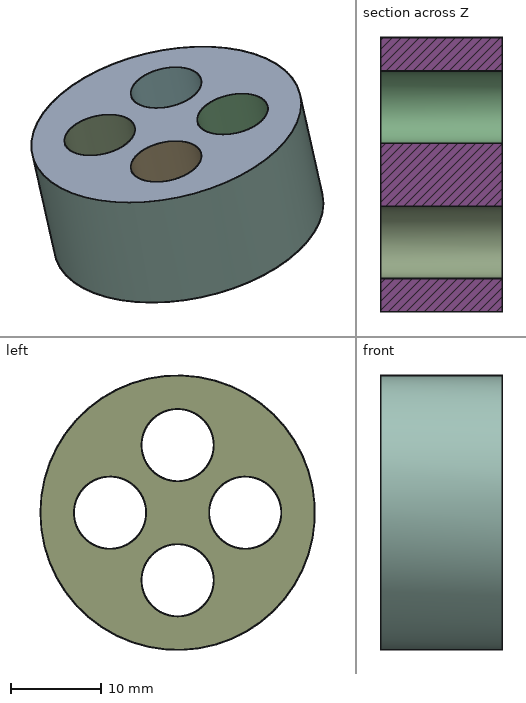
import cadquery as cq

disc_diameter = 30.5
disc_thickness = 13.5
hole_diameter = 8.0
hole_count = 4
hole_circle_radius = 7.5

disc = cq.Workplane("YZ").circle(disc_diameter / 2).extrude(disc_thickness)

holes = (
    cq.Workplane("YZ")
    .polarArray(hole_circle_radius, 0, 360, hole_count)
    .circle(hole_diameter / 2)
    .extrude(disc_thickness)
)

result = disc.cut(holes)